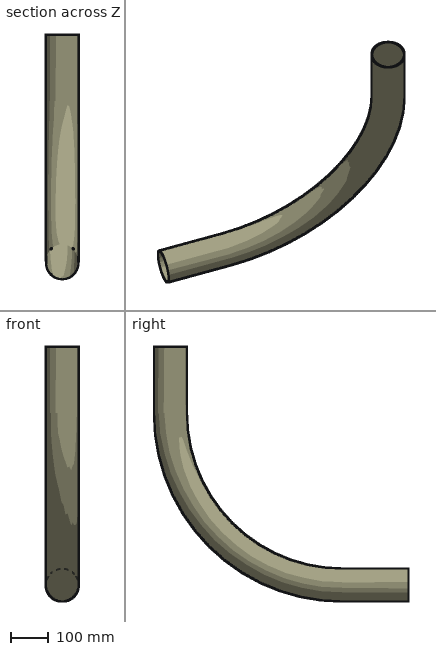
import math

import cadquery as cq

outer_diameter = 88.9
inner_diameter = 84.68
bend_radius = 457.2
leg_length = 177.8
leg_end = bend_radius + leg_length


def centreline():
    """Path from the open end of the Y leg, round the bend, to the open end of the Z leg."""
    arc_middle = bend_radius * (1 - math.cos(math.pi / 4))
    return (
        cq.Workplane("YZ")
        .moveTo(leg_end, 0)
        .lineTo(bend_radius, 0)
        .threePointArc((arc_middle, arc_middle), (0, bend_radius))
        .lineTo(0, leg_end)
    )


def swept_pipe():
    """Ring section at the end of the Y leg, swept along the centreline."""
    return (
        cq.Workplane("XZ", origin=(0, leg_end, 0))
        .circle(outer_diameter / 2)
        .circle(inner_diameter / 2)
        .sweep(centreline())
    )


result = swept_pipe()